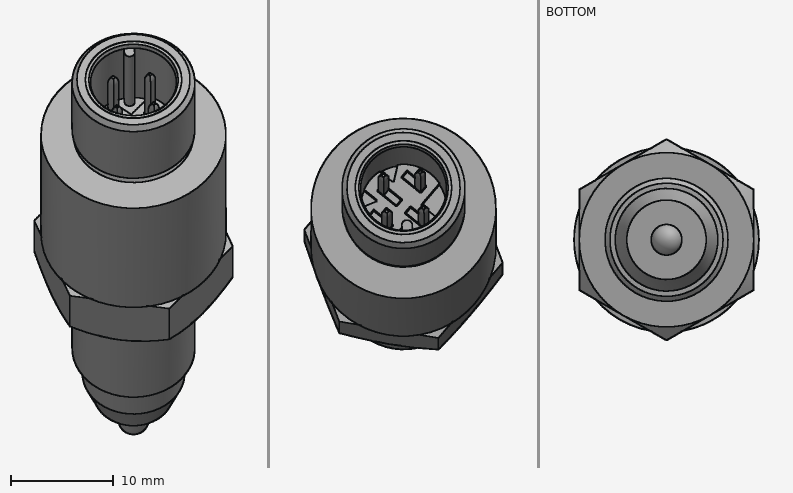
import cadquery as cq
import math

PROBE_TOP = 5.6
CONE_TOP = 9.0
LOWER_THREAD_BOTTOM = 12.55
LOWER_THREAD_TOP = 23.6
HEX_BOTTOM = 25.5
BODY_BOTTOM = 31.6
BODY_TOP = 47.65
UPPER_THREAD_BOTTOM = 48.5
TOTAL_HEIGHT = 56.5

PROBE_DIAMETER = 3.0
CONE_END_DIAMETER = 7.75
NOSE_DIAMETER = 10.0
THREAD_DIAMETER = 12.0
THREAD_ROOT_DIAMETER = 11.0
BODY_DIAMETER = 18.0

HEX_ACROSS_CORNERS = 19.6
HEX_CHAMFER_HEIGHT = 1.15
HEX_SIDES = 6

RECESS_DIAMETER = 9.4
RECESS_DEPTH = 0.05
SOCKET_DIAMETER = 8.35
MOUTH_CHAMFER_WIDTH = 0.15
MOUTH_CHAMFER_HEIGHT = 0.4
SOCKET_DEPTH = 7.9
KEY_WIDTH = 1.0
KEY_TIP_RADIUS = 3.15
KEY_ANGLE = 135

SUNK_DEPTH = 0.55
ARM_HALF_WIDTH = 1.2
ARM_END_X = -3.5
ARM_CORNER_CHAMFER = 0.2
LEFT_EDGE_X = -1.25
WEDGE_TIP_X = 2.25
WEDGE_SIDE_ANGLE = 63
WEDGE_TIP_RADIUS = 0.1

PIN_CIRCLE_RADIUS = 2.55
PIN_SIDE = 0.75
PIN_TIP_SIDE = 0.3
PIN_TIP_DEPTH = 1.75
PIN_TAPER_HEIGHT = 0.8
FOOT_LENGTH = 2.3
SLOT_CLEARANCE = 0.07
SLOT_DEPTH = 0.3
FOOT_DROP = 0.1

SOCKET_FLOOR = TOTAL_HEIGHT - SOCKET_DEPTH
THREAD_CHAMFER = (THREAD_DIAMETER - THREAD_ROOT_DIAMETER) / 2
SOCKET_RADIUS = SOCKET_DIAMETER / 2


def block(x_range, y_range, bottom, height):
    """Box between two X and two Y limits, standing on the height `bottom`."""
    length = x_range[1] - x_range[0]
    width = y_range[1] - y_range[0]
    box = cq.Workplane("XY").box(length, width, height, centered=False)
    return box.translate((x_range[0], y_range[0], bottom))


def cylinder(diameter, bottom, height):
    return cq.Workplane("XY").workplane(offset=bottom).circle(diameter / 2).extrude(height)


def turned_outside():
    """Probe, cone, threads and body, turned about the Z axis."""
    probe = PROBE_DIAMETER / 2
    root = THREAD_ROOT_DIAMETER / 2
    thread = THREAD_DIAMETER / 2
    body = BODY_DIAMETER / 2
    relief_bottom = UPPER_THREAD_BOTTOM - THREAD_CHAMFER
    arc_offset = probe * math.sqrt(0.5)
    profile = (
        cq.Workplane("XZ")
        .moveTo(0, 0)
        .threePointArc((arc_offset, probe - arc_offset), (probe, probe))
        .lineTo(probe, PROBE_TOP)
        .lineTo(CONE_END_DIAMETER / 2, PROBE_TOP)
        .lineTo(NOSE_DIAMETER / 2, CONE_TOP)
        .lineTo(NOSE_DIAMETER / 2, LOWER_THREAD_BOTTOM)
        .lineTo(root, LOWER_THREAD_BOTTOM)
        .lineTo(thread, LOWER_THREAD_BOTTOM + THREAD_CHAMFER)
        .lineTo(thread, LOWER_THREAD_TOP - THREAD_CHAMFER)
        .lineTo(root, LOWER_THREAD_TOP)
        .lineTo(root, BODY_BOTTOM)
        .lineTo(body, BODY_BOTTOM)
        .lineTo(body, BODY_TOP)
        .lineTo(root + relief_bottom - BODY_TOP, BODY_TOP)
        .lineTo(root, relief_bottom)
        .lineTo(thread, UPPER_THREAD_BOTTOM)
        .lineTo(thread, TOTAL_HEIGHT - THREAD_CHAMFER)
        .lineTo(root, TOTAL_HEIGHT)
        .lineTo(0, TOTAL_HEIGHT)
        .close()
    )
    return profile.revolve(360, (0, 0, 0), (0, 1, 0))


def hexagon():
    """Hexagon whose lower corners are cut by a cone that touches the flats."""
    height = BODY_BOTTOM - HEX_BOTTOM
    corner_radius = HEX_ACROSS_CORNERS / 2
    half_side_angle = 180 / HEX_SIDES
    flat_radius = corner_radius * math.cos(math.radians(half_side_angle))
    prism = cq.Workplane("XY").polygon(HEX_SIDES, HEX_ACROSS_CORNERS).extrude(height)
    envelope = (
        cq.Workplane("XY")
        .circle(corner_radius)
        .extrude(height)
        .faces("<Z")
        .chamfer(HEX_CHAMFER_HEIGHT, corner_radius - flat_radius)
    )
    prism = prism.rotate((0, 0, 0), (0, 0, 1), half_side_angle)
    return prism.intersect(envelope).translate((0, 0, HEX_BOTTOM))


def socket_cavity():
    """Round socket with a chamfered mouth below a shallow recess."""
    mouth = TOTAL_HEIGHT - RECESS_DEPTH
    profile = (
        cq.Workplane("XZ")
        .moveTo(0, SOCKET_FLOOR)
        .lineTo(SOCKET_RADIUS, SOCKET_FLOOR)
        .lineTo(SOCKET_RADIUS, mouth - MOUTH_CHAMFER_HEIGHT)
        .lineTo(SOCKET_RADIUS + MOUTH_CHAMFER_WIDTH, mouth)
        .lineTo(RECESS_DIAMETER / 2, mouth)
        .lineTo(RECESS_DIAMETER / 2, TOTAL_HEIGHT)
        .lineTo(0, TOTAL_HEIGHT)
        .close()
    )
    return profile.revolve(360, (0, 0, 0), (0, 1, 0))


def sunk_floor():
    """One area around the left arm and two wedges on the right, all bounded by the socket wall."""
    bottom = SOCKET_FLOOR - SUNK_DEPTH
    arm = block((ARM_END_X, 0), (-ARM_HALF_WIDTH, ARM_HALF_WIDTH), bottom, SUNK_DEPTH)
    arm = arm.edges("|Z and <X").chamfer(ARM_CORNER_CHAMFER)
    sunk = block((-SOCKET_RADIUS, LEFT_EDGE_X), (-SOCKET_RADIUS, SOCKET_RADIUS), bottom, SUNK_DEPTH)
    sunk = sunk.cut(arm)

    slope = math.tan(math.radians(WEDGE_SIDE_ANGLE))
    wedge = (
        cq.Workplane("XY")
        .workplane(offset=bottom)
        .moveTo(WEDGE_TIP_X, ARM_HALF_WIDTH)
        .lineTo(SOCKET_RADIUS, ARM_HALF_WIDTH)
        .lineTo(SOCKET_RADIUS, ARM_HALF_WIDTH + slope * (SOCKET_RADIUS - WEDGE_TIP_X))
        .close()
        .extrude(SUNK_DEPTH)
        .edges("|Z and <X")
        .fillet(WEDGE_TIP_RADIUS)
    )
    sunk = sunk.union(wedge).union(wedge.mirror("XZ"))
    return sunk.intersect(cylinder(SOCKET_DIAMETER, bottom, SUNK_DEPTH))


def key():
    """Coding key on the socket wall, with a round tip facing the axis."""
    bottom = SOCKET_FLOOR - SUNK_DEPTH
    height = TOTAL_HEIGHT - RECESS_DEPTH - MOUTH_CHAMFER_HEIGHT - bottom
    tip_centre = KEY_TIP_RADIUS + KEY_WIDTH / 2
    outer = RECESS_DIAMETER / 2
    rib = block((tip_centre, outer), (-KEY_WIDTH / 2, KEY_WIDTH / 2), bottom, height)
    rib = rib.union(cylinder(KEY_WIDTH, bottom, height).translate((tip_centre, 0, 0)))
    return rib.rotate((0, 0, 0), (0, 0, 1), KEY_ANGLE)


def foot_slot():
    """Slot for a contact whose pin is on the Z axis and whose foot points along +X."""
    start = -PIN_SIDE / 2 - SLOT_CLEARANCE
    end = FOOT_LENGTH - PIN_SIDE / 2 + SLOT_CLEARANCE
    return block((start, end), (start, -start), SOCKET_FLOOR - SLOT_DEPTH, SLOT_DEPTH)


def pin_side_profile():
    """Upright plate as wide and deep as a pin, narrowing to the flat tip in two tangent arcs."""
    half = PIN_SIDE / 2
    top = TOTAL_HEIGHT - PIN_TIP_DEPTH
    bottom = SOCKET_FLOOR - SLOT_DEPTH
    right_half = (
        cq.Workplane("XZ")
        .moveTo(0, bottom)
        .lineTo(half, bottom)
        .lineTo(half, top - PIN_TAPER_HEIGHT)
        .tangentArcPoint((PIN_TIP_SIDE / 2, top), relative=False)
        .lineTo(0, top)
        .close()
        .extrude(half, both=True)
    )
    return right_half.union(right_half.mirror("YZ"))


def contact():
    """Square pin with a rounded taper, and its foot, in the same place as `foot_slot`."""
    half = PIN_SIDE / 2
    foot = block(
        (-half, FOOT_LENGTH - half), (-half, half), SOCKET_FLOOR - SLOT_DEPTH, SLOT_DEPTH - FOOT_DROP
    )
    plate = pin_side_profile()
    pin = plate.intersect(plate.rotate((0, 0, 0), (0, 0, 1), 90))
    return foot.union(pin)


CONTACT_PLACES = [
    (PIN_CIRCLE_RADIUS, 0, 180),
    (0, PIN_CIRCLE_RADIUS, 0),
    (-PIN_CIRCLE_RADIUS, 0, 0),
    (0, -PIN_CIRCLE_RADIUS, 0),
]

result = turned_outside().union(hexagon())
result = result.cut(socket_cavity()).cut(sunk_floor()).union(key())
for x, y, foot_angle in CONTACT_PLACES:
    slot = foot_slot().rotate((0, 0, 0), (0, 0, 1), foot_angle).translate((x, y, 0))
    pin = contact().rotate((0, 0, 0), (0, 0, 1), foot_angle).translate((x, y, 0))
    result = result.cut(slot).union(pin)